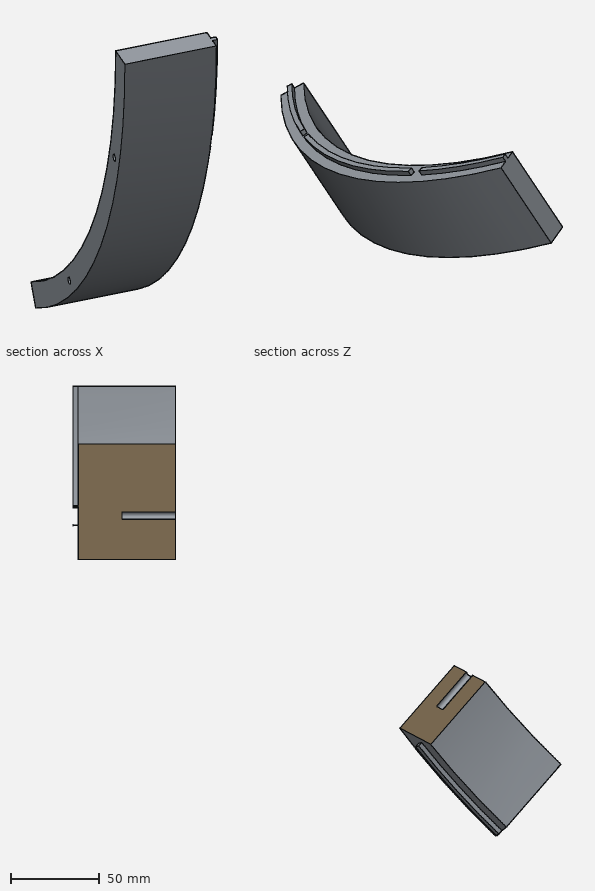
import cadquery as cq
import math

outer_radius = 290.0
thickness = 15.0
inner_radius = outer_radius - thickness
middle_radius = outer_radius - thickness / 2
sweep_angle = 60.0
body_depth = 55.0

tongue_width = 3.0
tongue_height = 3.0

hole_diameter = 4.0
hole_depth = 30.1
hole_angles = (sweep_angle / 4, sweep_angle * 3 / 4)
tongue_gap_angle = 2.0


def polar_point(radius, angle):
    """Point in the XZ plane at an angle in degrees below +X."""
    turn = math.radians(angle)
    return (radius * math.cos(turn), -radius * math.sin(turn))


def arc_bar(small_radius, large_radius, start_angle, end_angle, front, depth):
    """Bar with arc sides and radial ends, extending from front towards +Y."""
    mid_angle = (start_angle + end_angle) / 2
    return (
        cq.Workplane("XZ", origin=(0, front, 0))
        .moveTo(*polar_point(small_radius, start_angle))
        .lineTo(*polar_point(large_radius, start_angle))
        .threePointArc(polar_point(large_radius, mid_angle), polar_point(large_radius, end_angle))
        .lineTo(*polar_point(small_radius, end_angle))
        .threePointArc(polar_point(small_radius, mid_angle), polar_point(small_radius, start_angle))
        .close()
        .extrude(-depth)
    )


result = arc_bar(inner_radius, outer_radius, 0, sweep_angle, 0, body_depth)

segment_starts = [0] + [angle + tongue_gap_angle / 2 for angle in hole_angles]
segment_ends = [angle - tongue_gap_angle / 2 for angle in hole_angles] + [sweep_angle]
for start_angle, end_angle in zip(segment_starts, segment_ends):
    segment = arc_bar(
        middle_radius - tongue_width / 2,
        middle_radius + tongue_width / 2,
        start_angle,
        end_angle,
        body_depth,
        tongue_height,
    )
    result = result.union(segment)

hole_centres = [polar_point(middle_radius, angle) for angle in hole_angles]
holes = cq.Workplane("XZ").pushPoints(hole_centres).circle(hole_diameter / 2).extrude(-hole_depth)
result = result.cut(holes)